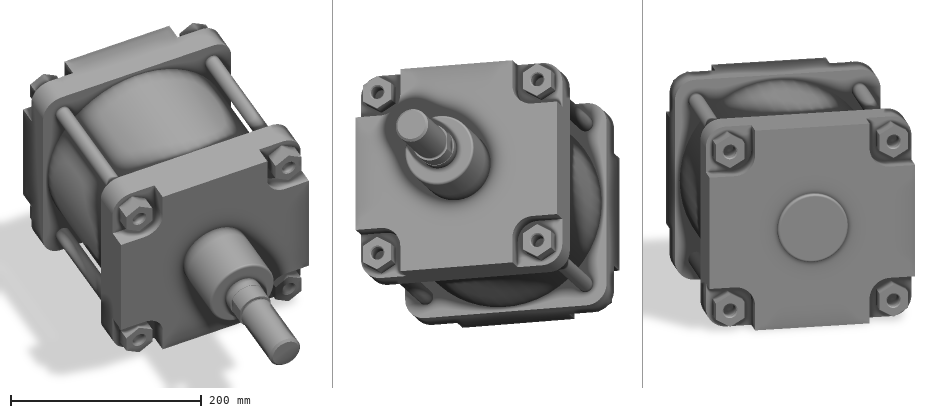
import cadquery as cq
import math


cap_side = 220.0
cap_corner_radius = 21.8
cap_length = 47.5
pocket_depth = 19.7
pocket_side = 48.8
boss_diameter = 75.0
boss_fillet = 2.5
rear_boss_length = 5.2
front_boss_length = 64.5

barrel_diameter = 209.5
barrel_length = 136.0

tie_spacing = 175.0
tie_diameter = 16.0
nut_across_flats = 30.5
nut_height = 17.5
nut_hole_diameter = 13.7
nut_hole_chamfer = 1.2

rod_diameter = 40.0
flats_diameter = 39.0
flats_width = 35.5
flats_length = 19.0
thread_diameter = 35.5
neck_diameter = 33.0
neck_length = 3.0
collar_length = 11.5
end_chamfer = 2.5
total_length = 403.0

rear_face_x = rear_boss_length
barrel_start_x = rear_face_x + cap_length
barrel_end_x = barrel_start_x + barrel_length
front_face_x = barrel_end_x + cap_length
front_boss_end_x = front_face_x + front_boss_length
flats_start_x = front_boss_end_x + collar_length
neck_start_x = flats_start_x + flats_length
thread_start_x = neck_start_x + neck_length
rear_pocket_floor_x = rear_face_x + pocket_depth
front_pocket_floor_x = front_face_x - pocket_depth

tie_offset = tie_spacing / 2
tie_positions = [(y, z) for y in (-tie_offset, tie_offset) for z in (-tie_offset, tie_offset)]


def section_at(x):
    """Workplane across the X axis at x: local axes are Y and Z, extrusion runs along +X."""
    return cq.Workplane("YZ", origin=(x, 0, 0))


def cylinder(x_start, x_end, diameter, center=(0, 0)):
    return section_at(x_start).center(*center).circle(diameter / 2).extrude(x_end - x_start)


def make_cap(inner_x, outer_x, boss_end_x):
    """Square cap with a round boss and four corner pockets on its outer face, bored for the tie rods."""
    block = section_at(inner_x).rect(cap_side, cap_side).extrude(outer_x - inner_x)
    block = block.edges("|X").fillet(cap_corner_radius)

    floor_x = outer_x - math.copysign(pocket_depth, outer_x - inner_x)
    pockets = (
        section_at(floor_x)
        .rect(cap_side, cap_side, forConstruction=True)
        .vertices()
        .rect(2 * pocket_side, 2 * pocket_side)
        .extrude(outer_x - floor_x)
        .edges("|X")
        .fillet(cap_corner_radius)
    )
    tie_bores = (
        section_at(inner_x).pushPoints(tie_positions).circle(tie_diameter / 2).extrude(outer_x - inner_x)
    )

    boss = cylinder(outer_x, boss_end_x, boss_diameter)
    boss_rim = ">X" if boss_end_x > outer_x else "<X"
    boss = boss.faces(boss_rim).edges().fillet(boss_fillet)
    return block.cut(pockets).cut(tie_bores).union(boss)


def make_rear_cap():
    return make_cap(barrel_start_x, rear_face_x, 0)


def make_front_cap():
    """Front cap with the piston rod bore through its boss."""
    cap = make_cap(barrel_end_x, front_face_x, front_boss_end_x)
    return cap.cut(cylinder(barrel_end_x, front_boss_end_x, rod_diameter))


def make_barrel():
    return cylinder(barrel_start_x, barrel_end_x, barrel_diameter)


def make_nut(seat_x, outer_x, center):
    """Hexagonal nut with corners along Z and a chamfered round hole."""
    height = outer_x - seat_x
    corner_diameter = nut_across_flats / math.cos(math.pi / 6)
    hexagon = section_at(seat_x).center(*center).transformed(rotate=(0, 0, 90))
    nut = hexagon.polygon(6, corner_diameter).extrude(height)
    nut = nut.cut(cylinder(seat_x, outer_x, nut_hole_diameter, center))
    outer_face = ">X" if height > 0 else "<X"
    return nut.faces(outer_face).edges("%CIRCLE").chamfer(nut_hole_chamfer)


def make_tie_rod(center):
    """Tie rod and its two nuts as one solid."""
    shank = cylinder(rear_pocket_floor_x, front_pocket_floor_x, tie_diameter, center)
    rear_nut = make_nut(rear_pocket_floor_x, rear_pocket_floor_x - nut_height, center)
    front_nut = make_nut(front_pocket_floor_x, front_pocket_floor_x + nut_height, center)
    return shank.union(rear_nut).union(front_nut)


def make_piston_rod():
    """Stepped rod from the barrel end to the tip, with two wrench flats facing -Y and +Y."""
    body = cylinder(barrel_end_x, flats_start_x, rod_diameter)
    slab = section_at(flats_start_x).rect(flats_width, flats_diameter).extrude(flats_length)
    flats = cylinder(flats_start_x, neck_start_x, flats_diameter).intersect(slab)
    neck = cylinder(neck_start_x, thread_start_x, neck_diameter)
    thread = cylinder(thread_start_x, total_length, thread_diameter)
    thread = thread.faces(">X").edges().chamfer(end_chamfer)
    return body.union(flats).union(neck).union(thread)


rear_cap = make_rear_cap()
front_cap = make_front_cap()
barrel = make_barrel()
piston_rod = make_piston_rod()
tie_rods = [make_tie_rod(position) for position in tie_positions]

result = cq.Compound.makeCompound(
    [
        rear_cap.val(),
        front_cap.val(),
        barrel.val(),
        piston_rod.val(),
        *[tie_rod.val() for tie_rod in tie_rods],
    ]
)